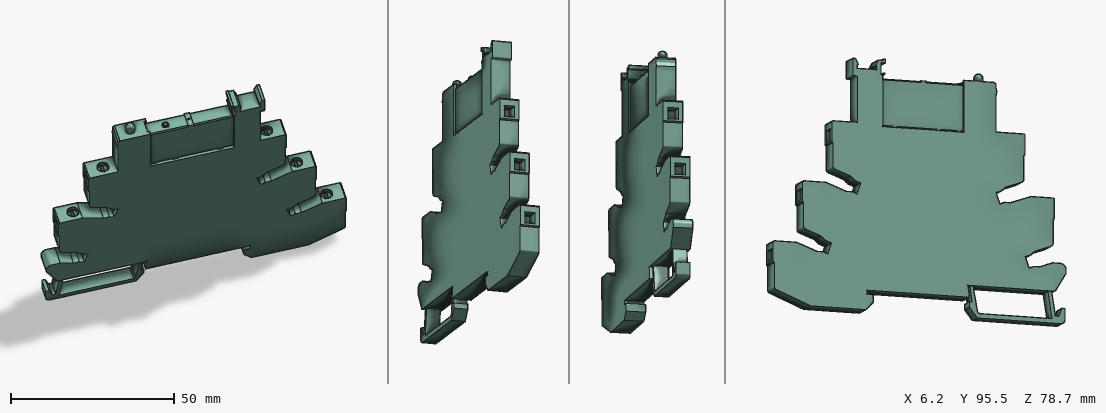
import cadquery as cq
import math


length = 95.5
width = 6.2
front_y = -length / 2
rear_y = length / 2

tier_centre_y = -2.9
tier_pitch_y = 9.55
tier_pitch_z = 19.4
rear_tier_count = 3
front_tier_count = 2
top_tier_z = 58.35
bottom_tier_reach = rear_y - tier_centre_y
top_tier_reach = bottom_tier_reach - tier_pitch_y * (rear_tier_count - 1)
tier_top_bevel = 0.4
tier_corner_radius = 1.05
lip_height = 6.5
lip_overhang = 0.4
tier_face_height = 14.9
shelf_inset = 7.6
notch_corners = (
    (-6.0, -16.9),
    (-7.5, -18.2),
    (-9.5, -18.9),
    (-8.2, -22.3),
    (-6.7, -21.8),
    (-4.8, -21.8),
)

screw_inset = 5.4
wire_entry_inset = 2.3
screw_radius = 1.8
screw_depth = 1.5
screw_slot_width = 0.9
screw_slot_depth = 0.5
wire_entry_width = 3.3
wire_entry_height = 3.5
wire_entry_depth = 4.8

rail_seat_z = 6.1
rail_recess_rear_y = 17.2
rail_hook_y = 15.1
rail_hook_z = 4.9
rail_hook_bevel = 2.4
rail_hook_radius = 0.6
rail_recess_front_y = -16.2
foot_roof_z = 9.8
roof_rear_y = -15.7
base_slope_y = 35.6
base_slope_z = 4.6
nose_top_z = 18.7
nose_slope_y = -43.4
nose_radius = 1.9
nose_low_z = 15.7
nose_heel_y = -44.2
nose_heel_radius = 1.0

slot_rear_y = 12.0
slot_front_y = -14.5
slot_floor_z = 57.6
tongue_length = 0.7
tongue_width = 4.3

front_tower_y = -24.9
front_tower_z = 73.8
front_tower_bevel = 0.6
ridge_z = 71.0
ridge_half_height = 1.1
ridge_height = 0.3
lamp_y = -20.2
lamp_radius = 1.4
lamp_stem_height = 1.4

rear_tower_y = 20.3
clip_seat_z = 75.3
clip_inner_y = 13.9
rear_jaw_y = 21.8
rear_jaw_foot_z = 72.9
clip_fillet_radius = 0.4
jaw_top_z = 78.3
jaw_barb_z = 76.5
jaw_barb_depth = 0.4
rear_jaw_tip = 0.9
front_jaw_y = 12.6
front_jaw_top_y = 13.5
finger_tip_y = 11.1
finger_z = 77.5
finger_bead_length = 0.8
finger_bead_top_z = 78.7
ledge_z = 73.7
bead_y = 11.3
bead_width = 0.5
bead_height = 0.7

foot_width = 4.5
foot_floor_z = 1.4
rear_leg_top_y = -16.7
rear_leg_thickness = 1.05
rear_leg_lean = 1.4
rear_leg_corner_bevel = 0.6
rear_hook_y = -16.5
rear_hook_low_z = 3.2
rear_heel_y = -19.0
rear_leg_hook_y = -17.4
front_leg_top_y = -43.4
front_leg_thickness = 1.2
front_leg_lean = 1.3
pull_tab_thickness = 1.05
pull_gap_z = 2.3
pull_gap_rear_y = -44.6
pull_gap_front_y = -45.65
foot_corner_radius = 1.4

relay_width = 4.9
relay_top_z = 72.7
relay_bevel = 0.4
relay_base_bevel = 0.5
relay_feet = ((7.9, 1.5), (-6.5, 1.5), (-13.0, 1.2))
band_y = -1.5
band_length = 1.7
band_height = 0.2
nub_width = 0.4
nub_length = 0.7
nub_height = 0.2
button_y = -9.0
button_radius = 0.6
button_height = 0.4
button_well_radius = 1.05
button_well_depth = 0.5


def rounded_outline(corners):
    """YZ outline through (y, z) or (y, z, radius) corners, rounding those with a radius."""
    path = None
    count = len(corners)
    for i, corner in enumerate(corners):
        point = cq.Vector(corner[0], corner[1])
        if len(corner) == 2:
            stops = [point]
        else:
            radius = corner[2]
            before = corners[i - 1]
            after = corners[(i + 1) % count]
            back = (cq.Vector(before[0], before[1]) - point).normalized()
            ahead = (cq.Vector(after[0], after[1]) - point).normalized()
            half_angle = back.getAngle(ahead) / 2
            setback = radius / math.tan(half_angle)
            bisector = (back + ahead).normalized()
            middle = point + bisector * (radius / math.sin(half_angle) - radius)
            stops = [point + back * setback, middle, point + ahead * setback]
        start = stops[0].toTuple()[:2]
        path = cq.Workplane("YZ").moveTo(*start) if path is None else path.lineTo(*start)
        if len(stops) == 3:
            path = path.threePointArc(stops[1].toTuple()[:2], stops[2].toTuple()[:2])
    return path.close()


def slab(corners, thickness):
    """Outline extruded symmetrically about X = 0."""
    return rounded_outline(corners).extrude(thickness / 2, both=True)


def block(x_size, y_low, y_high, z_low, z_high):
    """Box centred on X = 0 between the given Y and Z limits."""
    centre = (0, (y_low + y_high) / 2, (z_low + z_high) / 2)
    return cq.Workplane("XY").box(x_size, y_high - y_low, z_high - z_low).translate(centre)


def upright(radius, y, z_low, z_high):
    """Vertical cylinder on the X = 0 plane."""
    return cq.Workplane("XY", origin=(0, y, z_low)).circle(radius).extrude(z_high - z_low)


def tier_reach(tier):
    """Distance from tier_centre_y to the face of a tier, counted from the top."""
    return top_tier_reach + tier * tier_pitch_y


def tier_top(tier):
    """Height of the flat top of a tier."""
    return top_tier_z - tier * tier_pitch_z


def tier_face(side, tier):
    """Top corner and lipped face of a tier, from top to bottom; side is +1 rear, -1 front."""
    face_y = tier_centre_y + side * tier_reach(tier)
    top_z = tier_top(tier)
    lip_z = top_z - lip_height
    inset_y = face_y - side * lip_overhang
    return [
        (face_y - side * tier_top_bevel, top_z),
        (face_y, top_z - tier_top_bevel),
        (face_y, lip_z),
        (inset_y, lip_z - lip_overhang),
    ]


def tier_notch(side, tier):
    """Slanted notch below a tier, from its outer lower corner to the foot of the notch."""
    face_y = tier_centre_y + side * tier_reach(tier)
    top_z = tier_top(tier)
    corner = (face_y - side * lip_overhang, top_z - tier_face_height, tier_corner_radius)
    return [corner] + [(face_y + side * out, top_z + up) for out, up in notch_corners]


def tier_shelf(side, tier):
    """Start of the flat top of a tier, where the notch above it runs out."""
    return [(tier_centre_y + side * (tier_reach(tier) - shelf_inset), tier_top(tier))]


def marker_clip_corners():
    """Rear tower top, from its rear face over the clip jaws to the relay slot."""
    return [
        (rear_tower_y, rear_jaw_foot_z, clip_fillet_radius),
        (rear_jaw_y, rear_jaw_foot_z, clip_fillet_radius),
        (rear_jaw_y, jaw_top_z),
        (rear_jaw_y - rear_jaw_tip, jaw_top_z),
        (rear_tower_y - jaw_barb_depth, jaw_barb_z),
        (rear_tower_y, jaw_barb_z - jaw_barb_depth),
        (rear_tower_y, clip_seat_z),
        (clip_inner_y, clip_seat_z),
        (clip_inner_y, jaw_barb_z - jaw_barb_depth),
        (clip_inner_y + jaw_barb_depth, jaw_barb_z),
        (front_jaw_top_y, jaw_top_z),
        (finger_tip_y + finger_bead_length, jaw_top_z),
        (finger_tip_y + finger_bead_length, finger_bead_top_z),
        (finger_tip_y, finger_bead_top_z),
        (finger_tip_y, finger_z),
        (front_jaw_y, finger_z, clip_fillet_radius),
        (front_jaw_y, ledge_z),
        (bead_y + bead_width, ledge_z),
        (bead_y + bead_width, ledge_z + bead_height),
        (bead_y, ledge_z + bead_height),
        (bead_y, ledge_z + bead_height / 2),
        (slot_rear_y, ledge_z - bead_height / 2),
    ]


def front_tower_corners():
    """Front tower, from the relay slot over the top and down its ridged front face."""
    return [
        (slot_front_y, front_tower_z),
        (front_tower_y + front_tower_bevel, front_tower_z),
        (front_tower_y, front_tower_z - front_tower_bevel),
        (front_tower_y, ridge_z + ridge_half_height),
        (front_tower_y - ridge_height, ridge_z),
        (front_tower_y, ridge_z - ridge_half_height),
        (front_tower_y, top_tier_z),
    ]


def base_corners():
    """Underside, from the nose at the front to the sloped rear corner."""
    return [
        (nose_slope_y, nose_top_z),
        (front_y, nose_top_z, nose_radius),
        (front_y, nose_low_z),
        (nose_heel_y, foot_roof_z, nose_heel_radius),
        (roof_rear_y, foot_roof_z),
        (rail_recess_front_y, rail_seat_z),
        (rail_recess_rear_y, rail_seat_z),
        (rail_recess_rear_y, rail_hook_z),
        (rail_hook_y, rail_hook_z, rail_hook_radius),
        (rail_hook_y, rail_hook_bevel),
        (rail_hook_y + rail_hook_bevel, 0),
        (base_slope_y, 0),
        (rear_y - lip_overhang, base_slope_z, tier_corner_radius),
    ]


def housing_corners():
    """Side outline of the housing, from the relay slot forward, around the base and up the rear."""
    corners = [(slot_rear_y, slot_floor_z), (slot_front_y, slot_floor_z)]
    corners += front_tower_corners()
    for tier in range(front_tier_count):
        if tier > 0:
            corners += tier_shelf(-1, tier)
        corners += tier_face(-1, tier) + tier_notch(-1, tier)
    corners += base_corners()
    rear = [(rear_tower_y, top_tier_z)]
    for tier in range(rear_tier_count):
        if tier > 0:
            rear += tier_shelf(1, tier)
        rear += tier_face(1, tier)
        if tier < rear_tier_count - 1:
            rear += tier_notch(1, tier)
    corners += reversed(rear)
    return corners + marker_clip_corners()


def foot():
    """Sprung rail foot: a bar hung from two leaning legs, with a rail hook and a pull tab."""
    rear_inner_top_y = rear_leg_top_y - rear_leg_thickness
    front_inner_top_y = front_leg_top_y + front_leg_thickness
    outer = slab([
        (rear_leg_top_y, foot_roof_z),
        (rear_leg_hook_y, rail_hook_z),
        (rear_hook_y, rail_hook_z),
        (rear_hook_y, rear_hook_low_z),
        (rear_heel_y, 0),
        (front_y, 0, foot_corner_radius),
        (front_y, rail_hook_z),
        (front_y + pull_tab_thickness, rail_hook_z),
        (pull_gap_front_y, pull_gap_z),
        (pull_gap_rear_y, pull_gap_z),
        (front_leg_top_y, foot_roof_z),
    ], foot_width)
    opening = slab([
        (rear_inner_top_y, foot_roof_z),
        (rear_inner_top_y - rear_leg_lean, foot_floor_z + rear_leg_corner_bevel),
        (rear_inner_top_y - rear_leg_lean - rear_leg_corner_bevel, foot_floor_z),
        (front_inner_top_y - front_leg_lean, foot_floor_z),
        (front_inner_top_y, foot_roof_z),
    ], foot_width)
    return outer.cut(opening)


def lamp():
    """Round indicator lamp with a domed end."""
    dome_z = front_tower_z + lamp_stem_height
    dome = cq.Workplane("XY", origin=(0, lamp_y, dome_z)).sphere(lamp_radius)
    return upright(lamp_radius, lamp_y, front_tower_z, dome_z).union(dome)


def screw_recess(side, tier):
    """Round recess with a screwdriver slot across its floor."""
    y = tier_centre_y + side * (tier_reach(tier) - screw_inset)
    top_z = tier_top(tier)
    floor_z = top_z - screw_depth
    recess = upright(screw_radius, y, floor_z, top_z)
    half_slot = screw_slot_width / 2
    slot = block(width, y - half_slot, y + half_slot, floor_z - screw_slot_depth, floor_z)
    return recess.union(slot.intersect(upright(screw_radius, y, floor_z - screw_slot_depth, floor_z)))


def wire_entry(side, tier):
    """Rectangular blind opening in the lip of a tier face."""
    face_y = tier_centre_y + side * tier_reach(tier)
    inner_y = face_y - side * wire_entry_depth
    top_z = tier_top(tier) - wire_entry_inset
    bottom_z = top_z - wire_entry_height
    return block(wire_entry_width, min(face_y, inner_y), max(face_y, inner_y), bottom_z, top_z)


def tongue(top_z):
    """Narrow end of the relay, or its matching slot between the front tower cheeks, up to top_z."""
    return block(tongue_width, slot_front_y - tongue_length, slot_front_y, slot_floor_z, top_z)


def make_housing():
    """Stepped terminal housing with its foot and lamp."""
    body = slab(housing_corners(), width)
    body = body.union(foot()).union(lamp())
    for side, tier_count in ((1, rear_tier_count), (-1, front_tier_count)):
        for tier in range(tier_count):
            body = body.cut(screw_recess(side, tier)).cut(wire_entry(side, tier))
    return body.cut(tongue(front_tower_z))


def make_relay():
    """Plug-in relay standing in the housing slot."""
    body = block(relay_width, slot_front_y, slot_rear_y, slot_floor_z, relay_top_z)
    body = body.faces(">Z").edges("|Y").chamfer(relay_bevel)
    body = body.faces("<Z").edges("|Y").chamfer(relay_base_bevel)
    foot_top_z = slot_floor_z + relay_base_bevel
    for foot_y, foot_length in relay_feet:
        foot_rear_y = foot_y + foot_length / 2
        foot_front_y = foot_y - foot_length / 2
        body = body.union(block(relay_width, foot_front_y, foot_rear_y, slot_floor_z, foot_top_z))
    body = body.union(tongue(relay_top_z))
    shoulder_z = relay_top_z - relay_bevel
    band_top_z = relay_top_z + band_height
    half_band = band_length / 2
    body = body.union(block(relay_width, band_y - half_band, band_y + half_band, shoulder_z, band_top_z))
    half_nub = nub_length / 2
    body = body.union(block(nub_width, band_y - half_nub, band_y + half_nub, band_top_z, band_top_z + nub_height))
    well_floor_z = relay_top_z - button_well_depth
    body = body.cut(upright(button_well_radius, button_y, well_floor_z, relay_top_z))
    return body.union(upright(button_radius, button_y, well_floor_z, relay_top_z + button_height))


housing = make_housing()
relay = make_relay()
result = cq.Compound.makeCompound([housing.solids().val(), relay.solids().val()])